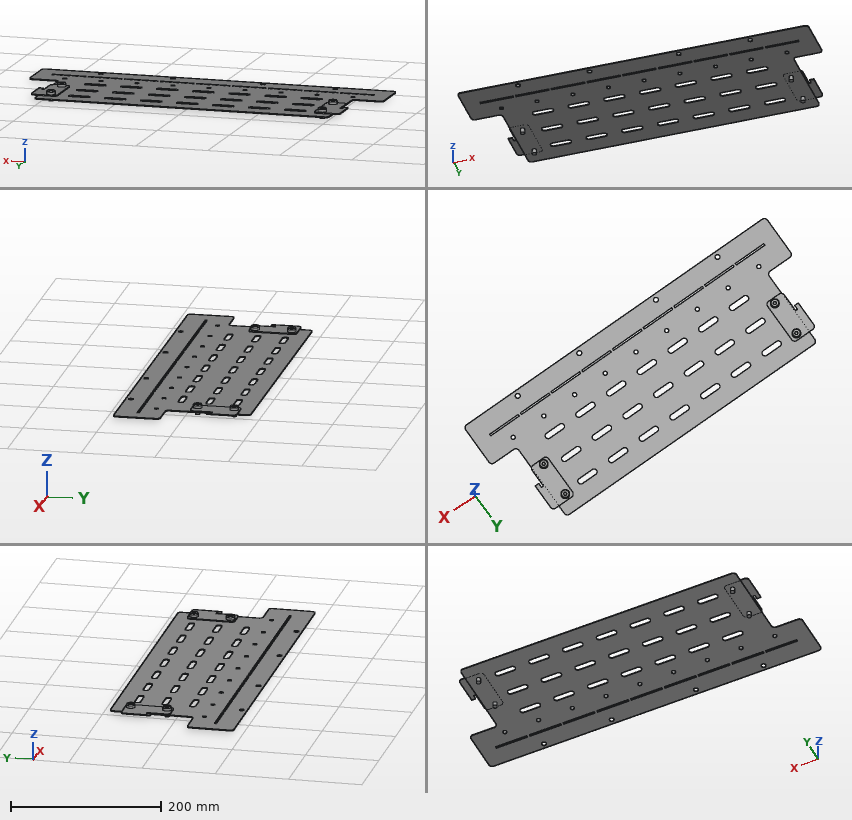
import cadquery as cq

plate_width = 491.5
plate_depth = 178.0
plate_thickness = 1.5
panel_width = 408.0
strip_depth = 63.5
corner_radius = 5.0

column_span = 400.0
column_count = 9
column_pitch = column_span / (column_count - 1)

slot_columns = 7
slot_length = 29.5
slot_width = 8.0
slot_row_ys = (74.5, 112.5, 150.0)

small_hole_diameter = 5.5
small_hole_y = 49.5

slit_length = 46.0
slit_width = 2.5
slit_y = 29.5

edge_hole_diameter = 6.5
edge_hole_y = 7.5
edge_hole_xs = (62.5, 162.5)

bracket_thickness = 1.5
bracket_inner_x = 178.5
bracket_shank_x = 205.5
bracket_hook_x = 214.5
bracket_front_y = 96.0
bracket_rear_y = 160.5
bracket_corner_radius = 5.0
hook_slot_width = 3.0
hook_slot_end_y = 127.0
hook_tip_y = 120.5

screw_x = 188.0
screw_ys = (103.0, 153.0)
screw_diameter = 6.0
screw_projection = 6.5
head_diameter = 12.0
head_height = 5.0
head_chamfer_height = 1.5
head_chamfer_inset = 1.0
socket_size = 4.0
socket_depth = 2.5

bracket_top_z = plate_thickness + bracket_thickness


def make_plate():
    half_plate = plate_width / 2
    half_panel = panel_width / 2
    outline = [
        (-half_plate, 0),
        (half_plate, 0),
        (half_plate, strip_depth),
        (half_panel, strip_depth),
        (half_panel, plate_depth),
        (-half_panel, plate_depth),
        (-half_panel, strip_depth),
        (-half_plate, strip_depth),
    ]
    blank = cq.Workplane("XY").polyline(outline).close().extrude(plate_thickness)
    return blank.edges("|Z").fillet(corner_radius)


def column_points(count, y):
    """Points on a row at the given y, centred on x = 0."""
    return [((i - (count - 1) / 2) * column_pitch, y) for i in range(count)]


def make_openings():
    slot_points = [point for y in slot_row_ys for point in column_points(slot_columns, y)]
    edge_hole_points = [(side * x, edge_hole_y) for side in (-1, 1) for x in edge_hole_xs]
    base = cq.Workplane("XY")
    slots = base.pushPoints(slot_points).slot2D(slot_length, slot_width).extrude(plate_thickness)
    small_holes = (
        base.pushPoints(column_points(column_count, small_hole_y))
        .circle(small_hole_diameter / 2)
        .extrude(plate_thickness)
    )
    slits = (
        base.pushPoints(column_points(column_count, slit_y))
        .rect(slit_length, slit_width)
        .extrude(plate_thickness)
    )
    edge_holes = base.pushPoints(edge_hole_points).circle(edge_hole_diameter / 2).extrude(plate_thickness)
    return slots.add(small_holes).add(slits).add(edge_holes).combine()


def make_bracket():
    """Bracket on the +X side, with its hook pointing toward the front strip."""
    hook_inner_x = bracket_shank_x + hook_slot_width
    outline = [
        (bracket_inner_x, bracket_front_y),
        (bracket_shank_x, bracket_front_y),
        (bracket_shank_x, hook_slot_end_y),
        (hook_inner_x, hook_slot_end_y),
        (hook_inner_x, hook_tip_y),
        (bracket_hook_x, hook_tip_y),
        (bracket_hook_x, bracket_rear_y),
        (bracket_inner_x, bracket_rear_y),
    ]
    bracket = (
        cq.Workplane("XY", origin=(0, 0, plate_thickness))
        .polyline(outline)
        .close()
        .extrude(bracket_thickness)
    )
    return bracket.edges("|Z and (<X or >Y or <Y)").fillet(bracket_corner_radius)


def make_screw(y):
    """Screw on the +X side: shank through both sheets, and a head with a hex socket."""
    shank = (
        cq.Workplane("XY", origin=(screw_x, y, -screw_projection))
        .circle(screw_diameter / 2)
        .extrude(screw_projection + bracket_top_z)
    )
    head = (
        cq.Workplane("XY", origin=(screw_x, y, bracket_top_z))
        .circle(head_diameter / 2)
        .extrude(head_height)
        .faces(">Z")
        .edges()
        .chamfer(head_chamfer_height, head_chamfer_inset)
        .faces(">Z")
        .workplane()
        .polygon(6, socket_size, circumscribed=True)
        .cutBlind(-socket_depth)
    )
    return shank.union(head)


right_fittings = make_bracket()
for screw_y in screw_ys:
    right_fittings = right_fittings.union(make_screw(screw_y))

left_fittings = right_fittings.mirror("YZ")
plate = make_plate().cut(make_openings())
result = plate.union(right_fittings).union(left_fittings).solids()